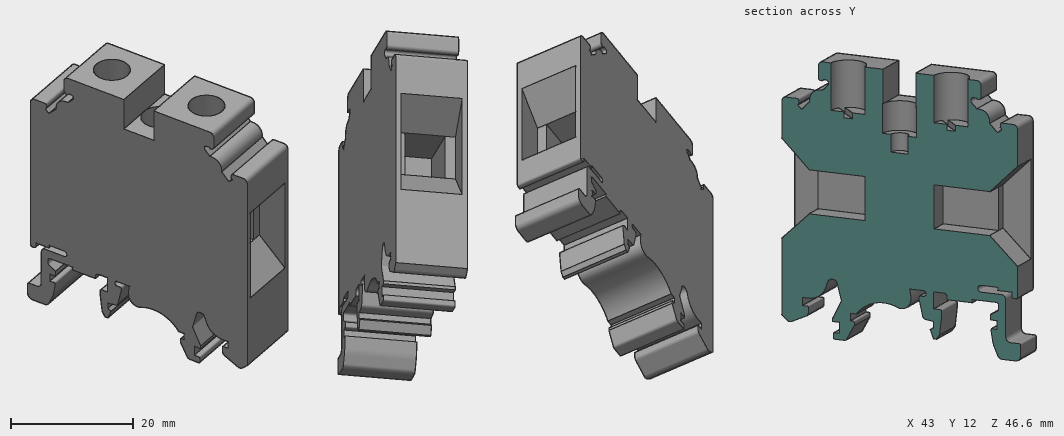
import math

import cadquery as cq

WIDTH = 12.0
HEIGHT = 46.65
OVERALL_LENGTH = 43.01
BODY_LENGTH = 42.44
BODY_END = BODY_LENGTH / 2
CLIP_TIP = BODY_END - OVERALL_LENGTH
SPLIT_Z = 20.0
OUTER_RADIUS = 0.85

GROOVE_WIDTH = 5.86
GROOVE_DEPTH = 5.83
TOWER_END = 14.66
LIP_Z = 43.38
MARKER_RECESS_X = 12.84
MARKER_RECESS_Z = 43.6
SHOULDER_X = 16.2
SHOULDER_Z = 41.85
SHOULDER_RADIUS = 1.9
SHELF_Z = 39.97
SHELF_INNER_X = 18.07
NOTCH_X = 17.6
NOTCH_Z = 38.25

RAIL_SEAT_Z = 10.0
SLIT_TOP = 12.07
SLIT_BOTTOM = 11.01
SLIT_END = -14.1
CLIP_BACK = -19.1
CLIP_FRONT = -16.3
CLIP_POCKET = -17.41
CLIP_TOE_TOP = 3.07
LEG_LEFT = -6.17
RIB_LEFT = -2.05
SPUR_LEFT = 8.1
SPUR_RIGHT = 11.95
SPUR_POCKET = 10.86
HEEL_LEFT = 16.35
HEEL_CEILING = 6.4

SCREW_OFFSET = 9.25
WELL_DIAMETER = 6.0
WELL_DEPTH = 8.0
SCREWDRIVER_SLOT_WIDTH = 1.0
SCREWDRIVER_SLOT_DEPTH = 1.0
SCREWDRIVER_SLOT_ANGLE = -45.0

CENTRE_BORE_DIAMETER = 6.0
CENTRE_BORE_DEPTH = 5.0
CENTRE_PILOT_DIAMETER = 3.0
CENTRE_PILOT_DEPTH = 3.0

ENTRY_WIDTH = 10.2
ENTRY_TOP = 32.92
ENTRY_BOTTOM = 16.05
FUNNEL_DEPTH = 5.0
PASSAGE_WIDTH = 6.75
PASSAGE_TOP = 28.08
PASSAGE_BOTTOM = 20.73
PASSAGE_END = SCREW_OFFSET - WELL_DIAMETER / 2


def toward(start, target, distance):
    """Point at a distance from start on the way to target."""
    length = math.dist(start, target)
    return tuple(a + (b - a) * distance / length for a, b in zip(start, target))


def rounded_prism(corners):
    """Extrude a closed XZ outline over the full width; each corner is (x, z) or (x, z, radius)."""
    count = len(corners)
    path = cq.Workplane("XZ").moveTo(*corners[0][:2])
    for i in range(1, count):
        corner = corners[i][:2]
        if len(corners[i]) == 2:
            path = path.lineTo(*corner)
            continue
        radius = corners[i][2]
        before = corners[i - 1][:2]
        after = corners[(i + 1) % count][:2]
        angle_in = math.atan2(before[1] - corner[1], before[0] - corner[0])
        angle_out = math.atan2(after[1] - corner[1], after[0] - corner[0])
        half_angle = abs(math.remainder(angle_out - angle_in, math.tau)) / 2
        setback = radius / math.tan(half_angle)
        arc_start = toward(corner, before, setback)
        arc_end = toward(corner, after, setback)
        chord_middle = tuple((a + b) / 2 for a, b in zip(arc_start, arc_end))
        arc_middle = toward(corner, chord_middle, radius / math.sin(half_angle) - radius)
        path = path.lineTo(*arc_start).threePointArc(arc_middle, arc_end)
    return path.close().extrude(WIDTH / 2, both=True)


def both_ends(solid):
    """A solid together with its mirror image at the other end of the body."""
    return solid.union(solid.mirror("YZ"))


def upper_body():
    """Screw towers, groove, marker recesses and end shelves."""
    half = rounded_prism([
        (0, SPLIT_Z),
        (0, HEIGHT - GROOVE_DEPTH),
        (GROOVE_WIDTH / 2, HEIGHT - GROOVE_DEPTH),
        (GROOVE_WIDTH / 2, HEIGHT),
        (TOWER_END, HEIGHT, OUTER_RADIUS),
        (TOWER_END, LIP_Z, 0.55),
        (TOWER_END - 0.7, LIP_Z),
        (TOWER_END - 0.95, MARKER_RECESS_Z),
        (MARKER_RECESS_X, MARKER_RECESS_Z, 0.4),
        (MARKER_RECESS_X, SHOULDER_Z + 1.05, 0.25),
        (MARKER_RECESS_X + 1.05, SHOULDER_Z),
        (SHOULDER_X, SHOULDER_Z, SHOULDER_RADIUS),
        (SHOULDER_X, NOTCH_Z + 1.4),
        (NOTCH_X, NOTCH_Z),
        (SHELF_INNER_X + 0.2, NOTCH_Z + 0.6),
        (SHELF_INNER_X, NOTCH_Z + 0.9),
        (SHELF_INNER_X, SHELF_Z, 0.4),
        (BODY_END, SHELF_Z, OUTER_RADIUS),
        (BODY_END, SPLIT_Z),
    ])
    return both_ends(half)


def lower_body():
    """Underside with the spring clip, middle leg, arched rib, spur and heel, traced left to right."""
    clip_slit = [
        (-BODY_END, 10.5, 0.4),
        (-20.12, 10.5, 0.4),
        (-20.12, 11.54),
        (-17.6, 11.54),
        (-17.6, SLIT_TOP),
        (SLIT_END, SLIT_TOP, 0.5),
        (SLIT_END, SLIT_BOTTOM, 0.5),
    ]
    spring_clip = [
        (CLIP_BACK, SLIT_BOTTOM, OUTER_RADIUS),
        (CLIP_BACK, CLIP_TOE_TOP, OUTER_RADIUS),
        (CLIP_TIP, CLIP_TOE_TOP, 0.35),
        (CLIP_TIP, 0, 1.05),
        (-17.85, 0, 0.9),
        (-16.75, 2.4, 3.5),
        (CLIP_FRONT, 5.1, 0.3),
        (CLIP_POCKET, 5.02),
        (CLIP_POCKET, 6.42),
        (CLIP_FRONT, 6.42, 0.2),
        (CLIP_FRONT, 7.4),
        (-17.75, 8.25, 0.45),
        (-17.75, 9.5, 0.4),
    ]
    pad = [
        (-13.0, 9.5),
        (-13.0, 8.95),
        (-8.5, 8.95),
        (-8.5, RAIL_SEAT_Z, 0.6),
    ]
    middle_leg = [
        (LEG_LEFT, RAIL_SEAT_Z),
        (LEG_LEFT, 7.22),
        (-7.6, 7.22, 0.4),
        (-7.6, 6.2),
        (-7.2, 2.9),
        (-6.6, 2.07),
        (-6.05, 2.07),
        (-5.48, 3.6),
        (-6.03, 4.02),
        (-6.03, 5.02),
        (-4.2, 5.25, 0.6),
        (-3.3, 9.12, 0.4),
        (-4.67, 9.12, 0.35),
        (-4.67, RAIL_SEAT_Z, 0.35),
    ]
    arched_rib = [
        (-1.85, RAIL_SEAT_Z),
        (RIB_LEFT, 8.9),
        (RIB_LEFT, 5.65, 1.8),
        (4.76, 8.4, 6.2),
        (7.78, 4.69),
    ]
    spur = [
        (8.82, 4.69),
        (8.82, 3.5),
        (SPUR_LEFT, 3.5, 0.25),
        (SPUR_LEFT, 2.75),
        (9.62, 0, 0.6),
        (SPUR_RIGHT, 0, 0.3),
        (SPUR_RIGHT, 1.18, 0.3),
        (SPUR_POCKET, 1.18),
        (SPUR_POCKET, 2.95),
        (12.1, 2.95),
        (12.1, 3.5),
        (10.5, 6.67, 0.2),
        (11.42, 10.08, 0.8),
    ]
    heel = [
        (12.7, 10.08, 0.8),
        (14.0, HEEL_CEILING, 3.3),
        (17.42, HEEL_CEILING),
        (17.42, 5.1),
        (HEEL_LEFT, 5.1, 0.2),
        (HEEL_LEFT, 3.55, 0.8),
        (19.85, 1.9, 0.8),
        (BODY_END, 3.1),
        (BODY_END, SPLIT_Z),
    ]
    underside = clip_slit + spring_clip + pad + middle_leg + arched_rib + spur + heel
    return rounded_prism([(-BODY_END, SPLIT_Z)] + underside)


def drilled(diameter, depth, top_z, x=0.0):
    """Vertical cylinder hanging down from top_z."""
    return cq.Workplane("XY", origin=(x, 0, top_z)).circle(diameter / 2).extrude(-depth)


def screw_well(x):
    """Round well with a screwdriver slot sunk in its floor."""
    floor_z = HEIGHT - WELL_DEPTH
    blank = (
        cq.Workplane("XY", origin=(x, 0, floor_z))
        .transformed(rotate=(0, 0, SCREWDRIVER_SLOT_ANGLE))
        .rect(WELL_DIAMETER, SCREWDRIVER_SLOT_WIDTH)
        .extrude(-SCREWDRIVER_SLOT_DEPTH)
    )
    slot = blank.intersect(drilled(WELL_DIAMETER, SCREWDRIVER_SLOT_DEPTH, floor_z, x))
    return drilled(WELL_DIAMETER, WELL_DEPTH, HEIGHT, x).union(slot)


def centre_hole():
    """Bore and narrower pilot hole below the groove floor."""
    floor_z = HEIGHT - GROOVE_DEPTH
    bore = drilled(CENTRE_BORE_DIAMETER, CENTRE_BORE_DEPTH, floor_z)
    pilot = drilled(CENTRE_PILOT_DIAMETER, CENTRE_BORE_DEPTH + CENTRE_PILOT_DEPTH, floor_z)
    return bore.union(pilot)


def wire_entry():
    """Funnel with sloped roof and floor, leading to a rectangular passage under the screw."""
    funnel_end = BODY_END - FUNNEL_DEPTH
    funnel = (
        cq.Workplane("XZ")
        .moveTo(BODY_END, ENTRY_BOTTOM)
        .lineTo(BODY_END, ENTRY_TOP)
        .lineTo(funnel_end, PASSAGE_TOP)
        .lineTo(funnel_end, PASSAGE_BOTTOM)
        .close()
        .extrude(ENTRY_WIDTH / 2, both=True)
    )
    passage = cq.Workplane("XY").box(
        funnel_end - PASSAGE_END,
        PASSAGE_WIDTH,
        PASSAGE_TOP - PASSAGE_BOTTOM,
        centered=(False, True, False),
    ).translate((PASSAGE_END, 0, PASSAGE_BOTTOM))
    return funnel.union(passage)


body = upper_body().union(lower_body()).clean()
for screw_x in (-SCREW_OFFSET, SCREW_OFFSET):
    body = body.cut(screw_well(screw_x))
body = body.cut(centre_hole())
result = body.cut(both_ends(wire_entry()))